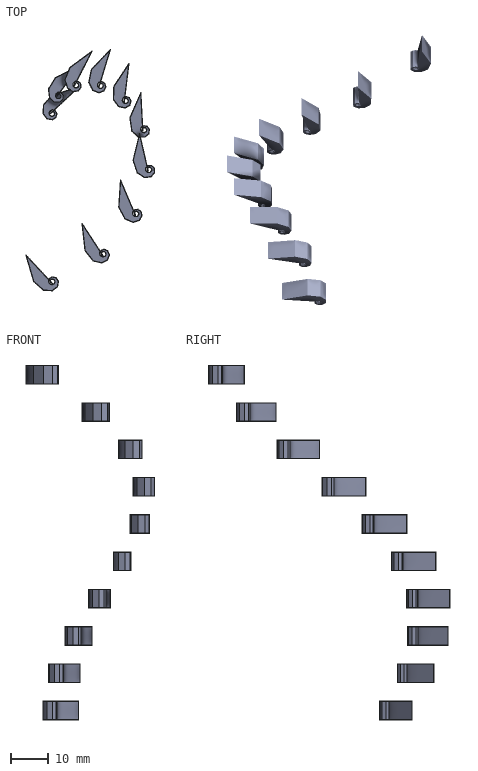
import cadquery as cq
import math

TIP_LENGTH = 10.0
SPIRAL_POINTS = 20
POINTS_PER_TURN = 8
BLADE_HEIGHT = 5.0
WELD_WIDTH = 0.02

BLADE_COUNT = 10
LEVEL_RISE = 10.0
RADIUS_STEP = 5.0
FIRST_POSITION_ANGLE = 90.0
POSITION_ANGLE_STEP = -20.0
FIRST_BLADE_ANGLE = 45.0
BLADE_ANGLE_STEP = 10.0


def polar_point(radius, degrees):
    angle = math.radians(degrees)
    return (radius * math.cos(angle), radius * math.sin(angle))


def spiral_point(number):
    """Point of the spiral, counted from 1 at the tip on the +X axis and winding inward."""
    return polar_point(TIP_LENGTH / number, (number - 1) * 360.0 / POINTS_PER_TURN)


def spiral_points(first, last):
    return [spiral_point(number) for number in range(first, last + 1)]


def move_toward(start, end, distance):
    fraction = distance / math.dist(start, end)
    return (
        start[0] + fraction * (end[0] - start[0]),
        start[1] + fraction * (end[1] - start[1]),
    )


def meet_straight_edge(number):
    """Where the facet after the numbered point crosses the straight edge from inner end to tip."""
    tip = spiral_point(1)
    inner_end = spiral_point(SPIRAL_POINTS)
    start = spiral_point(number)
    end = spiral_point(number + 1)
    edge_x, edge_y = tip[0] - inner_end[0], tip[1] - inner_end[1]

    def side_of_edge(point):
        return edge_x * (point[1] - inner_end[1]) - edge_y * (point[0] - inner_end[0])

    start_side = side_of_edge(start)
    fraction = start_side / (start_side - side_of_edge(end))
    return move_toward(start, end, fraction * math.dist(start, end))


SECOND_TURN_START = POINTS_PER_TURN + 1
THIRD_TURN_START = 2 * POINTS_PER_TURN + 1


def blade_outline():
    """One turn of the spiral, closed by the straight edge running back to the tip."""
    return spiral_points(1, SECOND_TURN_START) + [meet_straight_edge(SECOND_TURN_START)]


def eye_outline():
    """Hole inside the second turn, wrapped around the small tongue left at the spiral's inner end."""
    rim_corner = meet_straight_edge(SECOND_TURN_START)
    tongue_root = meet_straight_edge(THIRD_TURN_START)
    second_turn = spiral_points(SECOND_TURN_START + 1, THIRD_TURN_START)
    tongue = spiral_points(THIRD_TURN_START + 1, SPIRAL_POINTS)
    return [
        move_toward(rim_corner, second_turn[0], WELD_WIDTH),
        *second_turn,
        move_toward(tongue_root, second_turn[-1], WELD_WIDTH),
        *reversed(tongue),
        move_toward(tongue_root, rim_corner, WELD_WIDTH),
        move_toward(rim_corner, tongue_root, WELD_WIDTH),
    ]


def make_blade():
    """Blade centred on its spiral, standing on Z = 0 with its tip along +X."""
    body = cq.Workplane("XY").polyline(blade_outline()).close().extrude(BLADE_HEIGHT)
    eye = cq.Workplane("XY").polyline(eye_outline()).close().extrude(BLADE_HEIGHT)
    return body.cut(eye)


def place_blade(level):
    x, y = polar_point(level * RADIUS_STEP, FIRST_POSITION_ANGLE + level * POSITION_ANGLE_STEP)
    blade_angle = FIRST_BLADE_ANGLE + level * BLADE_ANGLE_STEP
    turned_blade = make_blade().rotate((0, 0, 0), (0, 0, 1), blade_angle)
    return turned_blade.translate((x, y, level * LEVEL_RISE))


blades = [place_blade(level).val() for level in range(BLADE_COUNT)]

result = cq.Compound.makeCompound(blades)